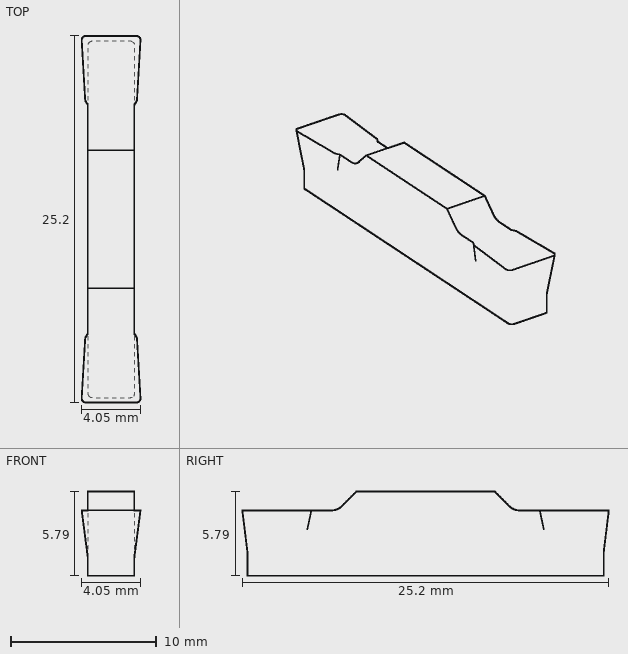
import cadquery as cq
import math

length = 25.15
height = 5.79
cutting_width = 4.05
body_width = 3.2
cutting_height = 4.5

ridge_length = 9.48
ridge_angle = math.radians(45)
ridge_root_radius = 1.0

front_clearance = math.radians(7)
side_clearance = math.radians(7)
side_taper = math.radians(3.36)
flank_length = 4.43
runout_angle = math.radians(30)
front_face_height = 1.66
corner_radius = 0.3
runout_radius = 0.2

half_length = length / 2
half_body = body_width / 2
body_end = half_length - (cutting_height - front_face_height) * math.tan(front_clearance)
tip_half_width = cutting_width / 2 + corner_radius * math.tan(side_taper)
neck_half_width = tip_half_width - flank_length * math.tan(side_taper)
neck_y = half_length - flank_length
root_half_width = half_body / 2
root_y = neck_y - (neck_half_width - root_half_width) / math.tan(runout_angle)


def make_body():
    """Straight bar with the full side profile: base, cutting planes and raised ridge."""
    ridge_half = ridge_length / 2
    ridge_foot = ridge_half + (height - cutting_height) / math.tan(ridge_angle)
    profile = [
        (-body_end, 0),
        (body_end, 0),
        (body_end, cutting_height),
        (ridge_foot, cutting_height),
        (ridge_half, height),
        (-ridge_half, height),
        (-ridge_foot, cutting_height),
        (-body_end, cutting_height),
    ]
    body = cq.Workplane("YZ").polyline(profile).close().extrude(half_body, both=True)
    edge_reach = 0.01
    for side in (-1, 1):
        foot = cq.selectors.BoxSelector(
            (-half_body, side * ridge_foot - edge_reach, cutting_height - edge_reach),
            (half_body, side * ridge_foot + edge_reach, cutting_height + edge_reach),
        )
        body = body.edges(foot).fillet(ridge_root_radius)
    return body.edges("|Z and (>Y or <Y)").fillet(corner_radius)


def head_section(z):
    """Plan outline of the +Y cutting head at height z, without its corner rounds."""
    depth = cutting_height - z
    tip_y = half_length - depth * math.tan(front_clearance)
    side_shift = depth * math.tan(side_clearance)
    tip_half = tip_half_width - side_shift - (half_length - tip_y) * math.tan(side_taper)
    neck_half = neck_half_width - side_shift
    root_half = root_half_width - side_shift
    right_side = [(root_half, root_y), (neck_half, neck_y), (tip_half, tip_y)]
    left_side = [(-x, y) for x, y in reversed(right_side)]
    return cq.Wire.makePolygon([cq.Vector(x, y, z) for x, y in right_side + left_side], close=True)


def make_head():
    """Cutting head at the +Y end: clearance on front and sides, wide at the cutting plane."""
    sections = [head_section(0), head_section(cutting_height)]
    head = cq.Workplane(cq.Solid.makeLoft(sections, True))
    middle_height = cutting_height / 2
    for side in (-1, 1):
        tip = (side * tip_half_width, half_length, middle_height)
        head = head.edges(cq.selectors.NearestToPointSelector(tip)).fillet(corner_radius)
        neck = (side * neck_half_width, neck_y, middle_height)
        head = head.edges(cq.selectors.NearestToPointSelector(neck)).fillet(runout_radius)
    return head


head = make_head()
opposite_head = head.rotate((0, 0, 0), (0, 0, 1), 180)
result = make_body().union(head).union(opposite_head)